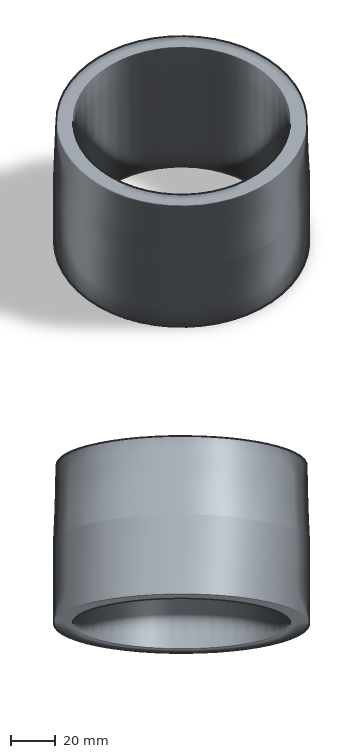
import cadquery as cq

outer_radius = 57.2
bore_radius = 48.6
height = 73.0
band_height = 36.6
top_radius = 56.0
top_rim_fillet = 0.6
edge_fillet = 0.3

wall_section = (
    cq.Workplane("XZ")
    .moveTo(-bore_radius, 0)
    .lineTo(-outer_radius, 0)
    .lineTo(-outer_radius, band_height)
    .lineTo(-top_radius, height)
    .lineTo(-bore_radius, height)
    .close()
)
sleeve = wall_section.revolve(360, (0, 0, 0), (0, 1, 0))

sleeve = sleeve.faces(">Z").edges(cq.selectors.RadiusNthSelector(-1)).fillet(top_rim_fillet)
sleeve = sleeve.faces(">Z").edges(cq.selectors.RadiusNthSelector(0)).fillet(edge_fillet)
result = sleeve.faces("<Z").edges().fillet(edge_fillet)